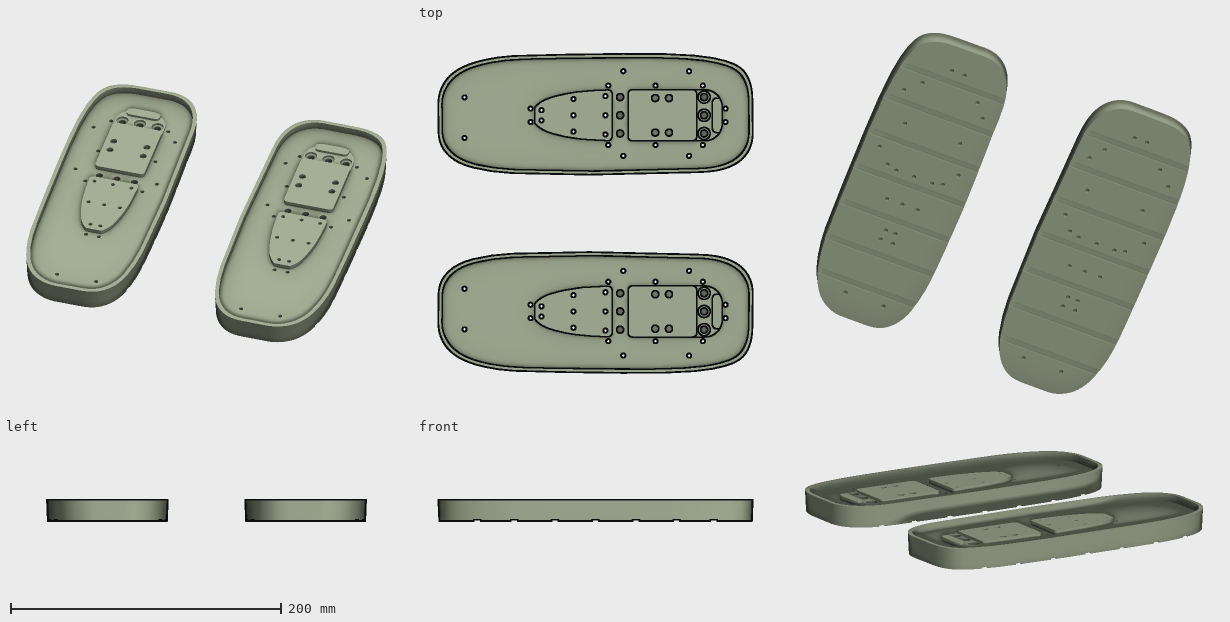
import cadquery as cq

sole_axis_y = 72.5
sole_height = 16.0
rim_height = 6.0
floor_z = sole_height - rim_height
rim_width = 2.8
wall_inset = 0.7

sole_half_length = 116.0
sole_half_width = 44.8
toe_tip_y = -1.5
heel_tip_y = -0.5
side_stations = [
    (-114.2, 19.0, -21.5),
    (-106.6, 30.0, -31.1),
    (-86.4, 39.9, -39.6),
    (-41.0, 44.5, -43.5),
    (7.0, 45.3, -44.0),
    (67.5, 44.5, -42.2),
    (94.5, 40.5, -39.6),
    (109.2, 33.0, -31.4),
    (114.7, 22.5, -22.7),
]

groove_width = 5.0
groove_depth = 1.0
inner_groove_pitch = 30.0
outer_groove_x = 87.3
groove_places = [i * inner_groove_pitch for i in range(-2, 3)] + [-outer_groove_x, outer_groove_x]
groove_length = 118.0

pin_hole_diameter = 3.0
toe_hole_x = -96.7
toe_hole_sides = (13.2, -16.8)
end_hole_places = (-48.0, 96.0)
end_hole_side = 5.0
flank_hole_x = 44.4
flank_hole_pitch = 35.0
flank_hole_side = 22.0
edge_hole_places = (20.5, 69.1)
edge_hole_sides = (32.5, -30.0)

plate_thickness = 3.5
plate_half_width = 18.9
plate_corner_radius = 3.0

toe_plate_front_x = -44.8
toe_plate_back_x = 12.3
toe_plate_front_half_width = 6.0
toe_plate_side = [(-39.5, 10.4), (-28.5, 14.5), (-14.0, 17.2)]
toe_plate_holes = [
    (-39.9, (-3.8, 3.8)),
    (-16.3, (-12.0, 0, 12.0)),
    (7.3, (-14.2, 0, 14.2)),
]

row_pitch = 13.5
row_sides = (-row_pitch, 0, row_pitch)
front_row_x = 18.2
rear_row_x = 80.2
blind_hole_diameter = 5.2
blind_hole_depth = 5.0

heel_plate_front_x = 24.0
heel_plate_back_x = 93.7
heel_radius = 13.0
recess_front_x = 74.8
recess_back_x = 86.4
recess_depth = 2.0
heel_lug_half_width = 12.7
heel_hole_diameter = 5.2
heel_hole_places = (44.1, 54.3)
heel_hole_side = 12.7
access_hole_diameter = 9.0


def round_holes(places, diameter, top_z, depth):
    """Upright cylinders to be cut downwards from top_z."""
    return (
        cq.Workplane("XY", origin=(0, 0, top_z))
        .pushPoints(places)
        .circle(diameter / 2)
        .extrude(-depth)
    )


def pairs(x_places, y_places):
    """Every combination of the given X and Y places."""
    return [(x, y) for x in x_places for y in y_places]


toe_plate_hole_places = [(x, y) for x, sides in toe_plate_holes for y in sides]
flank_places = [flank_hole_x + i * flank_hole_pitch for i in (-1, 0, 1)]
tray_hole_places = (
    pairs([toe_hole_x], toe_hole_sides)
    + pairs(end_hole_places, (-end_hole_side, end_hole_side))
    + pairs(flank_places, (-flank_hole_side, flank_hole_side))
    + pairs(edge_hole_places, edge_hole_sides)
    + toe_plate_hole_places
)


def sole_outline(inset, z):
    """Closed sole curve at height z, scaled down so its ends and sides move in by the inset."""
    outer_side = [(x, outer_y) for x, outer_y, inner_y in side_stations]
    inner_side = [(x, inner_y) for x, outer_y, inner_y in reversed(side_stations)]
    heel_tip = (sole_half_length, heel_tip_y)
    toe_tip = (-sole_half_length, toe_tip_y)
    x_scale = 1 - inset / sole_half_length
    y_scale = 1 - inset / sole_half_width
    loop = outer_side + [heel_tip] + inner_side + [toe_tip]
    points = [cq.Vector(x * x_scale, y * y_scale, z) for x, y in loop]
    return cq.Wire.assembleEdges([cq.Edge.makeSpline(points, periodic=True)])


def make_tray():
    """Sole tray: drafted wall, raised rim, underside grooves and holes in the floor."""
    rim_outline = sole_outline(0, sole_height)
    base_outline = sole_outline(wall_inset, 0)
    tray = cq.Workplane(cq.Solid.makeLoft([base_outline, rim_outline], True))
    cavity_outline = sole_outline(rim_width, floor_z)
    cavity = cq.Workplane(cq.Solid.extrudeLinear(cavity_outline, [], cq.Vector(0, 0, rim_height)))
    grooves = (
        cq.Workplane("XY")
        .pushPoints([(x, 0) for x in groove_places])
        .rect(groove_width, groove_length)
        .extrude(groove_depth)
    )
    pin_holes = round_holes(tray_hole_places, pin_hole_diameter, floor_z, floor_z)
    blind_places = pairs([front_row_x, rear_row_x], row_sides)
    blind_holes = round_holes(blind_places, blind_hole_diameter, floor_z, blind_hole_depth)
    return tray.cut(cavity).cut(grooves).cut(pin_holes).cut(blind_holes)


def make_toe_plate():
    """Toe plate: narrows towards the toe along curved sides, with holes right through."""
    left_side = toe_plate_side + [(toe_plate_back_x, plate_half_width)]
    right_side = [(x, -y) for x, y in reversed(toe_plate_side)]
    right_side.append((toe_plate_front_x, -toe_plate_front_half_width))
    plate = (
        cq.Workplane("XY", origin=(0, 0, floor_z))
        .moveTo(toe_plate_front_x, toe_plate_front_half_width)
        .spline(left_side, includeCurrent=True)
        .lineTo(toe_plate_back_x, -plate_half_width)
        .spline(right_side, includeCurrent=True)
        .close()
        .extrude(plate_thickness)
        .edges("|Z and >X")
        .fillet(plate_corner_radius)
    )
    top_z = floor_z + plate_thickness
    return plate.cut(round_holes(toe_plate_hole_places, pin_hole_diameter, top_z, plate_thickness))


def heel_block(front_x, back_x, half_width, bottom_z, height):
    """Block on the sole axis between two X places."""
    return (
        cq.Workplane("XY", origin=((front_x + back_x) / 2, 0, bottom_z))
        .rect(back_x - front_x, 2 * half_width)
        .extrude(height)
    )


def make_heel_plate():
    """Heel plate: rounded heel, cross recess, access holes over the rear blind holes, plain holes."""
    top_z = floor_z + plate_thickness
    recess_z = top_z - recess_depth
    base = (
        heel_block(heel_plate_front_x, heel_plate_back_x, plate_half_width, floor_z, plate_thickness)
        .edges("|Z and >X")
        .fillet(heel_radius)
        .edges("|Z and <X")
        .fillet(plate_corner_radius)
    )
    pad = (
        heel_block(heel_plate_front_x, recess_front_x, plate_half_width, recess_z, recess_depth)
        .edges("|Z")
        .fillet(plate_corner_radius)
    )
    lug = (
        heel_block(recess_back_x, heel_plate_back_x, heel_lug_half_width, recess_z, recess_depth)
        .edges("|Z and <X")
        .fillet(plate_corner_radius)
    )
    upper_layer = heel_block(heel_plate_front_x, heel_plate_back_x, plate_half_width, recess_z, recess_depth)
    plate = base.cut(upper_layer.cut(pad).cut(lug))
    plain_holes = pairs(heel_hole_places, (-heel_hole_side, heel_hole_side))
    access_holes = pairs([rear_row_x], row_sides)
    plate = plate.cut(round_holes(plain_holes, heel_hole_diameter, top_z, plate_thickness))
    return plate.cut(round_holes(access_holes, access_hole_diameter, top_z, plate_thickness))


bodies = []
for part in (make_tray(), make_toe_plate(), make_heel_plate()):
    outer = part.translate((0, sole_axis_y, 0))
    bodies += [*outer.solids().vals(), *outer.mirror("XZ").solids().vals()]

result = cq.Compound.makeCompound(bodies)